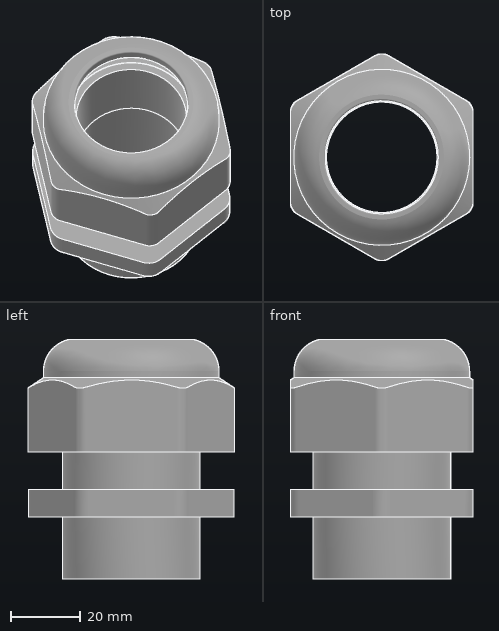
import cadquery as cq
import math


HEX_ACROSS_FLATS = 53.0
HEX_ACROSS_CORNERS = HEX_ACROSS_FLATS / math.cos(math.pi / 6)

BODY_RADIUS = 20.0
BODY_TOP = 60.4
FLANGE_BOTTOM = 18.0
FLANGE_HEIGHT = 8.0
FLANGE_CORNER_RADIUS = 5.0

SEAL_BORE_RADIUS = 16.0
SEAL_OUTER_RADIUS = 18.2
SEAL_BOTTOM = 36.8
SEAL_TOP = 60.2

CAP_BOTTOM = 36.8
CAP_TOP = 69.5
DOME_RADIUS = 25.5
DOME_BOTTOM = 60.2
DOME_TOP_RADIUS = 18.1
COLLAR_BOTTOM = 58.4
CAP_ACROSS_CORNERS = 59.93
CAP_CORNER_RADIUS = 3.0
CHAMFER_DROP = 3.0

MOUTH_RADIUS = 16.4
MOUTH_ROUND = 0.5
CONE_TOP = 66.7
CONE_BOTTOM = 60.4
CAVITY_RADIUS = 22.9
CAVITY_BOTTOM = 59.4
GROOVE_RADIUS = 24.4
GROOVE_BOTTOM = 55.5


def hex_prism(bottom, height):
    """Hexagonal prism with two flats facing +X and -X and corners on the Y axis."""
    return (
        cq.Workplane("XY")
        .workplane(offset=bottom)
        .transformed(rotate=(0, 0, 90))
        .polygon(6, HEX_ACROSS_CORNERS)
        .extrude(height)
    )


def cylinder(radius, bottom, top):
    return cq.Workplane("XY").workplane(offset=bottom).circle(radius).extrude(top - bottom)


def make_body():
    """Tube with a hexagonal flange and a counterbore at the top for the sealing sleeve."""
    flange = hex_prism(FLANGE_BOTTOM, FLANGE_HEIGHT).edges("|Z").fillet(FLANGE_CORNER_RADIUS)
    bore = cylinder(SEAL_BORE_RADIUS, 0, BODY_TOP)
    seal_seat = cylinder(SEAL_OUTER_RADIUS, SEAL_BOTTOM, BODY_TOP)
    return cylinder(BODY_RADIUS, 0, BODY_TOP).union(flange).cut(bore).cut(seal_seat)


def make_seal():
    """Plain sleeve that continues the bore of the body."""
    sleeve = cylinder(SEAL_OUTER_RADIUS, SEAL_BOTTOM, SEAL_TOP)
    return sleeve.cut(cylinder(SEAL_BORE_RADIUS, SEAL_BOTTOM, SEAL_TOP))


def make_cap_hexagon():
    """Hexagon with each corner cut flat and then rounded on both sides of the cut."""
    prism = hex_prism(CAP_BOTTOM, CAP_TOP - CAP_BOTTOM)
    corner_cutter = (
        cq.Workplane("XY")
        .workplane(offset=CAP_BOTTOM)
        .polygon(6, CAP_ACROSS_CORNERS / math.cos(math.pi / 6))
        .extrude(CAP_TOP - CAP_BOTTOM)
    )
    return prism.intersect(corner_cutter).edges("|Z").fillet(CAP_CORNER_RADIUS)


def make_cap_envelope():
    """Turned shape with a conical chamfer over the hexagon, a collar and a dome,
    hollowed by a rounded mouth, a conical cavity, a wider groove and the bore for the body."""
    corner_radius = CAP_ACROSS_CORNERS / 2
    chamfer_slope = CHAMFER_DROP / (corner_radius - DOME_RADIUS)
    outer_radius = HEX_ACROSS_CORNERS / 2
    outer_chamfer_z = COLLAR_BOTTOM - chamfer_slope * (outer_radius - DOME_RADIUS)

    dome_rise = CAP_TOP - DOME_BOTTOM
    dome_inset = DOME_RADIUS - DOME_TOP_RADIUS
    dome_arc_radius = (dome_rise**2 + dome_inset**2) / (2 * dome_inset)
    half_angle = math.asin(dome_rise / dome_arc_radius) / 2
    dome_middle = (
        DOME_RADIUS - dome_arc_radius * (1 - math.cos(half_angle)),
        DOME_BOTTOM + dome_arc_radius * math.sin(half_angle),
    )

    mouth_round_middle = (
        MOUTH_RADIUS + MOUTH_ROUND * (1 - math.cos(math.pi / 4)),
        CAP_TOP - MOUTH_ROUND * (1 - math.sin(math.pi / 4)),
    )

    profile = (
        cq.Workplane("XZ")
        .moveTo(BODY_RADIUS, CAP_BOTTOM)
        .lineTo(outer_radius, CAP_BOTTOM)
        .lineTo(outer_radius, outer_chamfer_z)
        .lineTo(DOME_RADIUS, COLLAR_BOTTOM)
        .lineTo(DOME_RADIUS, DOME_BOTTOM)
        .threePointArc(dome_middle, (DOME_TOP_RADIUS, CAP_TOP))
        .lineTo(MOUTH_RADIUS + MOUTH_ROUND, CAP_TOP)
        .threePointArc(mouth_round_middle, (MOUTH_RADIUS, CAP_TOP - MOUTH_ROUND))
        .lineTo(MOUTH_RADIUS, CONE_TOP)
        .lineTo(CAVITY_RADIUS, CONE_BOTTOM)
        .lineTo(CAVITY_RADIUS, CAVITY_BOTTOM)
        .lineTo(GROOVE_RADIUS, CAVITY_BOTTOM)
        .lineTo(GROOVE_RADIUS, GROOVE_BOTTOM)
        .lineTo(BODY_RADIUS, GROOVE_BOTTOM)
        .close()
    )
    return profile.revolve(360, (0, 0, 0), (0, 1, 0))


def make_cap_nut():
    return make_cap_hexagon().intersect(make_cap_envelope())


body = make_body()
seal = make_seal()
cap_nut = make_cap_nut()

result = cq.Compound.makeCompound([body.val(), seal.val(), cap_nut.val()])